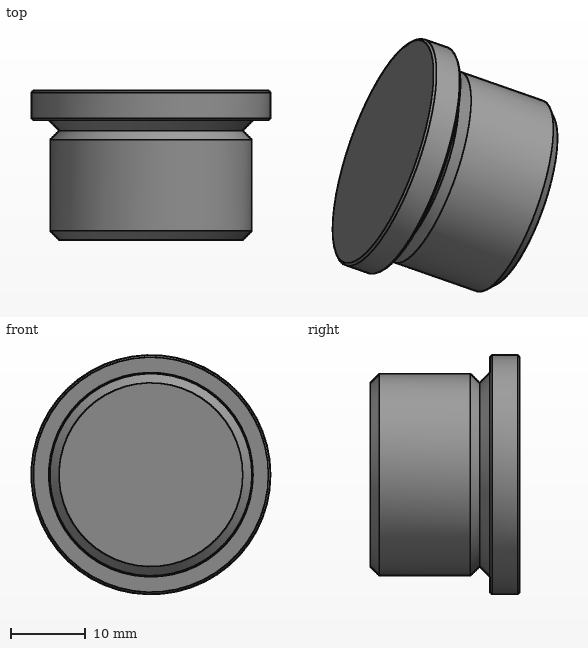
import cadquery as cq

head_diameter = 32.0
head_thickness = 4.0
head_chamfer = 0.3

thread_diameter = 27.0
thread_pitch = 2.0
depth_per_pitch = 0.6134
thread_depth = depth_per_pitch * thread_pitch
total_length = 20.0

undercut_mouth_diameter = 27.3

head_radius = head_diameter / 2
thread_radius = thread_diameter / 2
root_radius = thread_radius - thread_depth
undercut_mouth_radius = undercut_mouth_diameter / 2

undercut_bottom_y = -head_thickness - (undercut_mouth_radius - root_radius)
thread_start_y = undercut_bottom_y - thread_depth
thread_end_y = -total_length + thread_depth


def half_profile():
    """Half section as (radius, y) points, from the head face to the shank tip."""
    return (
        cq.Workplane("XY")
        .moveTo(0, 0)
        .lineTo(head_radius - head_chamfer, 0)
        .lineTo(head_radius, -head_chamfer)
        .lineTo(head_radius, -head_thickness + head_chamfer)
        .lineTo(head_radius - head_chamfer, -head_thickness)
        .lineTo(undercut_mouth_radius, -head_thickness)
        .lineTo(root_radius, undercut_bottom_y)
        .lineTo(thread_radius, thread_start_y)
        .lineTo(thread_radius, thread_end_y)
        .lineTo(root_radius, -total_length)
        .lineTo(0, -total_length)
        .close()
    )


result = half_profile().revolve(360, (0, 0, 0), (0, 1, 0))